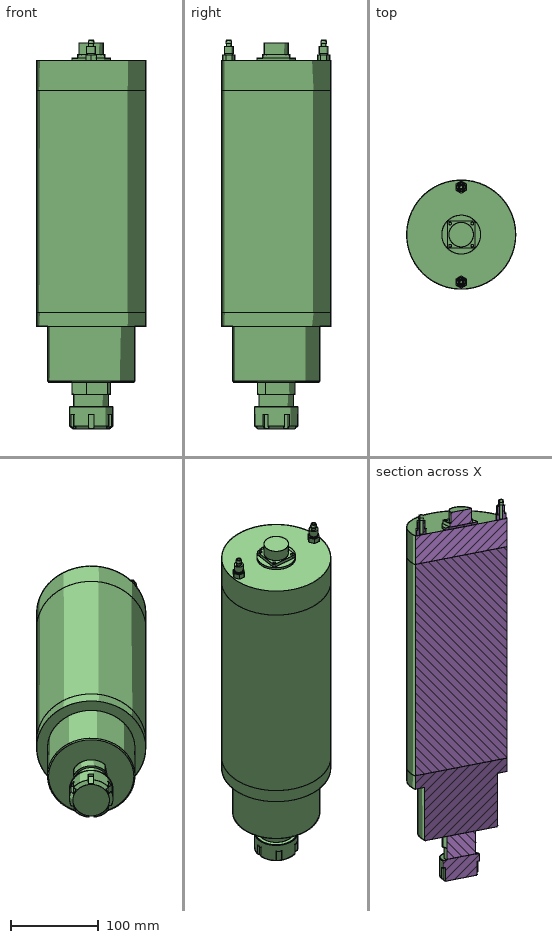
import cadquery as cq
import math

NUT_TOP = 26.0
COLLAR_BOTTOM = 39.5
NOSE_BOTTOM = 53.5
FLANGE_BOTTOM = 117.5
HOUSING_BOTTOM = 133.5
CAP_BOTTOM = 386.5
CAP_TOP = 421.5
OVERALL_TOP = 444.5

BODY_DIAMETER = 125.0
NOSE_DIAMETER = 100.0
NOSE_CHAMFER = 1.5

COLLAR_DIAMETER = 44.5
NECK_DIAMETER = 40.0
COLLAR_ACROSS_FLATS = 36.5
FLAT_TURN = 21

NUT_DIAMETER = 50.0
NUT_END_DIAMETER = 42.0
NUT_END_CHAMFER_HEIGHT = 3.5
NUT_TOP_CHAMFER = 0.65
SLOT_COUNT = 6
SLOT_WIDTH = 6.2
SLOT_TOP = 16.5
SLOT_FLOOR_RADIUS = 22.0

DISC_DIAMETER = 44.5
DISC_HEIGHT = 2.5
PLATE_SIDE = 31.0
PLATE_HEIGHT = 4.0
PLATE_CORNER_RADIUS = 1.5
PLUG_DIAMETER = 28.0
PLUG_TOP = 20.0
SCREW_PITCH = 25.5
SCREW_HOLE_DIAMETER = 3.0

FITTING_OFFSET = 54.2
HEX_SIDES = 6
HEX_TURN = 90
HEX_ACROSS_FLATS = 12.0
HEX_HEIGHT = 6.2
SLEEVE_DIAMETER = 10.2
SLEEVE_TOP = 16.0
RELIEF_DIAMETER = 9.5
RELIEF_TOP = 8.0
STEM_DIAMETER = 6.0
BARB_BOTTOM = 19.0
BARB_TAPER_START = 21.0
BARB_TOP = OVERALL_TOP - CAP_TOP
BARB_DIAMETER = 6.5
BARB_TIP_DIAMETER = 5.5
BORE_DIAMETER = 3.5


def cylinder(diameter, bottom, top):
    """Round bar on the Z axis between two heights."""
    return cq.Workplane("XY", origin=(0, 0, bottom)).circle(diameter / 2).extrude(top - bottom)


def make_front_end():
    """Mounting flange with the narrower nose below it."""
    nose = cylinder(NOSE_DIAMETER, NOSE_BOTTOM, FLANGE_BOTTOM).faces("<Z").chamfer(NOSE_CHAMFER)
    return nose.union(cylinder(BODY_DIAMETER, FLANGE_BOTTOM, HOUSING_BOTTOM))


def make_shaft():
    """Shaft end: a collar with two wrench flats above a round neck."""
    collar_height = NOSE_BOTTOM - COLLAR_BOTTOM
    flats = (
        cq.Workplane("XY", origin=(0, 0, COLLAR_BOTTOM))
        .rect(COLLAR_DIAMETER, COLLAR_ACROSS_FLATS)
        .extrude(collar_height)
        .rotate((0, 0, 0), (0, 0, 1), FLAT_TURN)
    )
    collar = cylinder(COLLAR_DIAMETER, COLLAR_BOTTOM, NOSE_BOTTOM).intersect(flats)
    return collar.union(cylinder(NECK_DIAMETER, NUT_TOP, COLLAR_BOTTOM))


def make_nut():
    """Collet nut with a tapered end and wrench slots open at the underside."""
    radius = NUT_DIAMETER / 2
    nut = (
        cq.Workplane("XZ")
        .moveTo(0, 0)
        .lineTo(NUT_END_DIAMETER / 2, 0)
        .lineTo(radius, NUT_END_CHAMFER_HEIGHT)
        .lineTo(radius, NUT_TOP - NUT_TOP_CHAMFER)
        .lineTo(radius - NUT_TOP_CHAMFER, NUT_TOP)
        .lineTo(0, NUT_TOP)
        .close()
        .revolve(360, (0, 0, 0), (0, 1, 0))
    )
    slot = cq.Workplane("XY").box(SLOT_WIDTH, radius, SLOT_TOP, centered=(True, False, False))
    slot = slot.translate((0, SLOT_FLOOR_RADIUS, 0))
    for index in range(SLOT_COUNT):
        nut = nut.cut(slot.rotate((0, 0, 0), (0, 0, 1), index * 360 / SLOT_COUNT))
    return nut


def make_connector():
    """Square plate with four screw holes carrying a round plug."""
    plate_bottom = CAP_TOP + DISC_HEIGHT
    plate = (
        cq.Workplane("XY", origin=(0, 0, plate_bottom))
        .rect(PLATE_SIDE, PLATE_SIDE)
        .extrude(PLATE_HEIGHT)
        .edges("|Z")
        .fillet(PLATE_CORNER_RADIUS)
        .faces(">Z")
        .workplane()
        .rect(SCREW_PITCH, SCREW_PITCH, forConstruction=True)
        .vertices()
        .hole(SCREW_HOLE_DIAMETER)
    )
    return plate.union(cylinder(PLUG_DIAMETER, plate_bottom, CAP_TOP + PLUG_TOP))


def make_fitting(y):
    """Hose fitting: hexagon base, relief groove, round sleeve and a barbed stem, bored through."""
    hexagon = (
        cq.Workplane("XY")
        .polygon(HEX_SIDES, HEX_ACROSS_FLATS / math.cos(math.pi / HEX_SIDES))
        .extrude(HEX_HEIGHT)
        .rotate((0, 0, 0), (0, 0, 1), HEX_TURN)
    )
    turned = (
        cq.Workplane("XZ")
        .moveTo(0, 0)
        .lineTo(RELIEF_DIAMETER / 2, 0)
        .lineTo(RELIEF_DIAMETER / 2, RELIEF_TOP)
        .lineTo(SLEEVE_DIAMETER / 2, RELIEF_TOP)
        .lineTo(SLEEVE_DIAMETER / 2, SLEEVE_TOP)
        .lineTo(STEM_DIAMETER / 2, SLEEVE_TOP)
        .lineTo(STEM_DIAMETER / 2, BARB_BOTTOM)
        .lineTo(BARB_DIAMETER / 2, BARB_BOTTOM)
        .lineTo(BARB_DIAMETER / 2, BARB_TAPER_START)
        .lineTo(BARB_TIP_DIAMETER / 2, BARB_TOP)
        .lineTo(0, BARB_TOP)
        .close()
        .revolve(360, (0, 0, 0), (0, 1, 0))
    )
    bore = cylinder(BORE_DIAMETER, 0, BARB_TOP)
    return hexagon.union(turned).cut(bore).translate((0, y, CAP_TOP))


rear_cap = cylinder(BODY_DIAMETER, CAP_BOTTOM, CAP_TOP)
housing = cylinder(BODY_DIAMETER, HOUSING_BOTTOM, CAP_BOTTOM)
front_end = make_front_end()
shaft = make_shaft()
nut = make_nut()
connector_disc = cylinder(DISC_DIAMETER, CAP_TOP, CAP_TOP + DISC_HEIGHT)
connector = make_connector()
fittings = [make_fitting(y) for y in (-FITTING_OFFSET, FITTING_OFFSET)]

result = cq.Compound.makeCompound([
    rear_cap.val(),
    housing.val(),
    front_end.val(),
    shaft.val(),
    nut.val(),
    connector_disc.val(),
    connector.val(),
    *[fitting.val() for fitting in fittings],
])